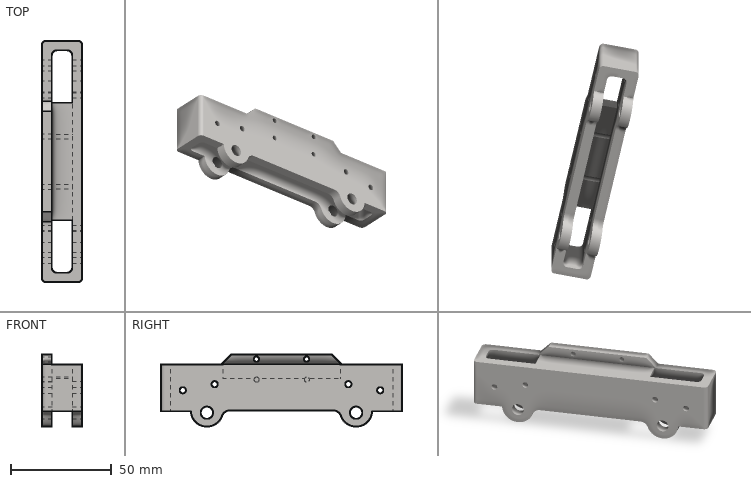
import cadquery as cq

length = 120
width = 20.0
height = 36
wall = 5.0

block_bottom = 7.7
block_top = 31.0
corner_radius = 2.0
middle_bottom = 8.0

tab_foot_half_length = 30
tab_top_half_length = tab_foot_half_length - (height - block_top)

slot_inner_y = 29.3
slot_outer_y = length / 2 - 4.8
slot_corner_radius = 2.3

bridge_thickness = 7.0

ear_y = 37.1
ear_radius = 8.0
ear_fillet = 4.0
pin_hole_diameter = 6
pin_hole_z = 7.0

slot_hole_diameter = 3.0
slot_hole_places = [(49.1, 18.1), (33.2, 21.1)]
tab_hole_diameter = 2.5
tab_hole_y = 12.5
tab_hole_heights = [33.6, 23.5]
tab_hole_depth = width - wall


def box_between(y_start, y_end, x_size, z_start, z_end):
    """Box centred across the width, between the given Y and Z limits."""
    return (
        cq.Workplane("XY", origin=(0, (y_start + y_end) / 2, z_start))
        .rect(x_size, y_end - y_start)
        .extrude(z_end - z_start)
    )


def side_plane(x_start):
    """Workplane whose local axes are Y and Z, extruding towards +X."""
    return cq.Workplane("YZ", origin=(x_start, 0, 0))


def cross_hole(y, z, diameter, depth):
    """Round hole cutter entering at the -X face."""
    return side_plane(-width / 2).center(y, z).circle(diameter / 2).extrude(depth)


def make_block():
    block = box_between(-length / 2, length / 2, width, block_bottom, block_top)
    block = block.edges("|Z").fillet(corner_radius)
    relief = box_between(-ear_y, ear_y, width, block_bottom, middle_bottom)
    return block.cut(relief)


def make_tab():
    return (
        side_plane(-width / 2)
        .moveTo(-tab_foot_half_length, block_top)
        .lineTo(-tab_top_half_length, height)
        .lineTo(tab_top_half_length, height)
        .lineTo(tab_foot_half_length, block_top)
        .lineTo(tab_foot_half_length, middle_bottom)
        .lineTo(-tab_foot_half_length, middle_bottom)
        .close()
        .extrude(wall)
    )


def make_ear(x_start, side):
    """Round ear with a concave blend into the underside on its inner flank."""
    blend_run = (ear_radius**2 + 2 * ear_radius * ear_fillet) ** 0.5
    share = ear_radius / (ear_radius + ear_fillet)
    touch_point = (side * (ear_y - share * blend_run), middle_bottom - share * ear_fillet)
    disc = side_plane(x_start).center(side * ear_y, middle_bottom).circle(ear_radius).extrude(wall)
    blend_y = side * (ear_y - blend_run)
    web = (
        side_plane(x_start)
        .moveTo(side * ear_y, middle_bottom)
        .lineTo(*touch_point)
        .lineTo(blend_y, middle_bottom - ear_fillet)
        .lineTo(blend_y, middle_bottom)
        .close()
        .extrude(wall)
    )
    blend = side_plane(x_start).center(blend_y, middle_bottom - ear_fillet).circle(ear_fillet).extrude(wall)
    return disc.union(web.cut(blend))


def make_slot(side):
    y_start, y_end = sorted((side * slot_inner_y, side * slot_outer_y))
    slot = box_between(y_start, y_end, width - 2 * wall, 0, height)
    outer_edges = slot.edges("|Z").edges(">Y" if side > 0 else "<Y")
    return outer_edges.fillet(slot_corner_radius)


def make_cavity():
    bridge_bottom = block_top - bridge_thickness
    return box_between(-slot_inner_y, slot_inner_y, width - 2 * wall, 0, bridge_bottom)


result = make_block().union(make_tab())
for side in (-1, 1):
    for wall_start in (-width / 2, width / 2 - wall):
        result = result.union(make_ear(wall_start, side))
result = result.cut(make_cavity())
for side in (-1, 1):
    result = result.cut(make_slot(side))
    result = result.cut(cross_hole(side * ear_y, pin_hole_z, pin_hole_diameter, width))
    for hole_y, hole_z in slot_hole_places:
        result = result.cut(cross_hole(side * hole_y, hole_z, slot_hole_diameter, width))
    for hole_z in tab_hole_heights:
        result = result.cut(cross_hole(side * tab_hole_y, hole_z, tab_hole_diameter, tab_hole_depth))